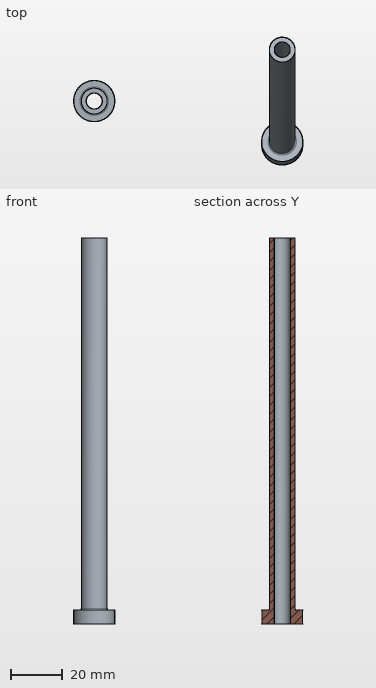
import cadquery as cq

total_length = 150.0
head_diameter = 16.0
head_height = 5.5
shaft_diameter = 10.0
bore_diameter = 6.2
neck_fillet_radius = 0.5

head = cq.Workplane("XY").circle(head_diameter / 2).extrude(head_height)
shaft = cq.Workplane("XY").circle(shaft_diameter / 2).extrude(total_length)
body = head.union(shaft)

head_top = body.faces("|Z").faces(">Z[-2]")
neck_edge = head_top.edges(cq.selectors.RadiusNthSelector(0))
body = neck_edge.fillet(neck_fillet_radius)

bore = cq.Workplane("XY").circle(bore_diameter / 2).extrude(total_length)
result = body.cut(bore)